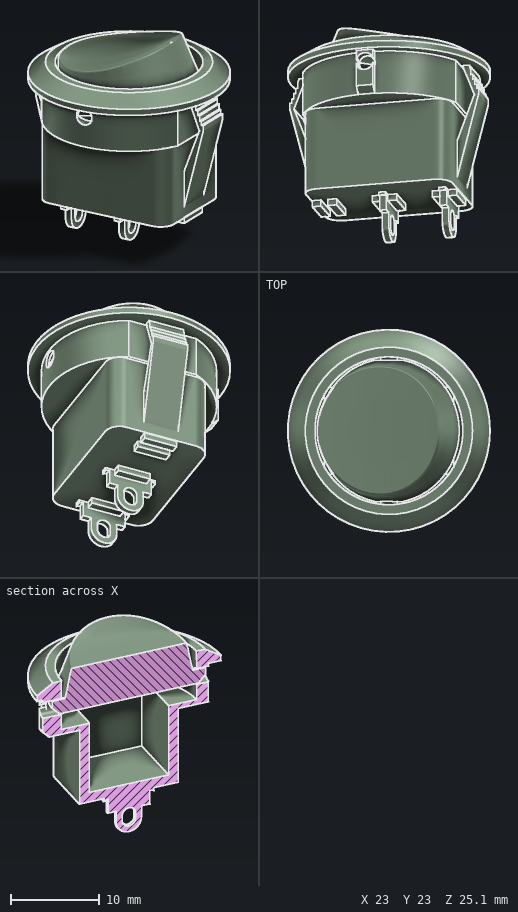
import cadquery as cq
import math


flange_radius = 11.5
flange_rim_height = 0.75
flange_height = 2.0
flange_top_radius = 9.5
collar_radius = 9.95
collar_flat_x = 9.0
collar_bottom = -5.0
bore_radius = 16.8 / 2
bore_floor = -4.3

case_half_x = 8.6
case_half_y = 6.18
case_corner_radius = 1.8
case_bottom = -14.6
case_wall = 1.26
case_floor_thickness = 1.3

pivot_z = -1.33
pivot_hole_diameter = 2.0
shaft_diameter = 1.9
shaft_end_y = 9.6

key_width = 1.95
key_outer_y = 10.75
key_chamfer = 0.8

clip_width = 4.3
clip_outer_x = 11.1
clip_step_x = 0.235
clip_step_levels = [-2.82, -2.34, -1.7, -1.13]
clip_ramp_z = -0.5
clip_tip_x = 10.0
clip_knee_z = -3.55
clip_knee_inner_x = 10.6
clip_top_inner_x = 9.2
clip_root_top = -8.86
clip_root_bottom = -13.2

terminal_pitch = 7.07
pad_length = 2.86
pad_width = 4.0
pad_height = 0.73
terminal_thickness = 0.8
terminal_width = 5.26
terminal_shoulder_z = -16.6
terminal_tip_z = -19.6
tab_radius = 1.6
tab_hole_radius = 0.8
tab_hole_upper_z = -17.3
barb_half_width = 3.13
barb_tip_z = -15.0
barb_inner_z = -14.8

rocker_tilt = 12.9
rocker_base_radius = 8.2
rocker_taper = 11.3
rocker_flat_y = 8.03
rocker_rim_height = 5.44
dish_depth = 0.9
dish_chord = 14.1
rocker_edge_fillet = 0.2


def make_bezel():
    rim = cq.Workplane("XY").circle(flange_radius).extrude(flange_rim_height)
    bevel = cq.Workplane("XZ").polyline([
        (0, flange_rim_height),
        (flange_radius, flange_rim_height),
        (flange_top_radius, flange_height),
        (0, flange_height),
    ]).close().revolve(360, (0, 0, 0), (0, 1, 0))
    return rim.union(bevel)


def make_collar():
    collar = cq.Workplane("XY").circle(collar_radius).extrude(collar_bottom)
    flats = cq.Workplane("XY").rect(2 * collar_flat_x, 2 * collar_radius).extrude(collar_bottom)
    return collar.intersect(flats)


def make_case():
    return (
        cq.Workplane("XY").workplane(offset=collar_bottom)
        .rect(2 * case_half_x, 2 * case_half_y)
        .extrude(case_bottom - collar_bottom)
        .edges("|Z").fillet(case_corner_radius)
    )


def make_key():
    inner_y = bore_radius + (collar_radius - bore_radius) / 2
    return (
        cq.Workplane("YZ")
        .polyline([
            (inner_y, 0),
            (key_outer_y, 0),
            (key_outer_y, collar_bottom + key_chamfer),
            (key_outer_y - key_chamfer, collar_bottom),
            (inner_y, collar_bottom),
        ]).close()
        .extrude(key_width / 2, both=True)
    )


def make_clip():
    """Snap clip on the +X side, with a stepped outer face above its knee and a ramp at its tip."""
    outline = [
        (case_half_x, clip_root_top),
        (case_half_x, clip_root_bottom),
        (clip_outer_x, clip_knee_z),
    ]
    step_x = clip_outer_x
    for level in clip_step_levels:
        outline.append((step_x, level))
        step_x -= clip_step_x
        outline.append((step_x, level))
    outline += [
        (step_x, clip_ramp_z),
        (clip_tip_x, 0),
        (clip_top_inner_x, 0),
        (clip_knee_inner_x, clip_knee_z),
    ]
    return cq.Workplane("XZ").polyline(outline).close().extrude(clip_width / 2, both=True)


def make_pad(x):
    return (
        cq.Workplane("XY", origin=(x, 0, case_bottom))
        .rect(pad_length, pad_width).extrude(-pad_height)
    )


def make_terminal(x):
    """Solder terminal: barbed shoulder plate with a round-ended, slotted tab."""
    half_width = terminal_width / 2
    tab_center_z = terminal_tip_z + tab_radius
    plate = (
        cq.Workplane("YZ", origin=(x, 0, 0))
        .moveTo(-half_width, case_bottom)
        .lineTo(-barb_half_width, case_bottom)
        .lineTo(-barb_half_width, barb_tip_z)
        .lineTo(-half_width, barb_inner_z)
        .lineTo(-half_width, terminal_shoulder_z)
        .lineTo(-tab_radius, terminal_shoulder_z)
        .lineTo(-tab_radius, tab_center_z)
        .threePointArc((0, terminal_tip_z), (tab_radius, tab_center_z))
        .lineTo(tab_radius, terminal_shoulder_z)
        .lineTo(half_width, terminal_shoulder_z)
        .lineTo(half_width, barb_inner_z)
        .lineTo(barb_half_width, barb_tip_z)
        .lineTo(barb_half_width, case_bottom)
        .close()
        .extrude(terminal_thickness / 2, both=True)
    )
    slot_length = tab_hole_upper_z - tab_center_z + 2 * tab_hole_radius
    slot = (
        cq.Workplane("YZ", origin=(x, 0, (tab_hole_upper_z + tab_center_z) / 2))
        .slot2D(slot_length, 2 * tab_hole_radius, 90)
        .extrude(terminal_thickness, both=True)
    )
    return plate.cut(slot)


def make_housing():
    body = make_bezel().union(make_collar()).union(make_case()).union(make_key())

    bore = (
        cq.Workplane("XY").workplane(offset=bore_floor)
        .circle(bore_radius).extrude(flange_height - bore_floor)
    )
    cavity_floor = case_bottom + case_floor_thickness
    cavity = (
        cq.Workplane("XY").workplane(offset=cavity_floor)
        .rect(2 * (case_half_x - case_wall), 2 * (case_half_y - case_wall))
        .extrude(bore_floor - cavity_floor)
    )
    pivot_hole = (
        cq.Workplane("XZ", origin=(0, 0, pivot_z))
        .circle(pivot_hole_diameter / 2).extrude(flange_radius, both=True)
    )
    body = body.cut(bore).cut(cavity).cut(pivot_hole)

    clip = make_clip()
    body = body.union(clip).union(clip.mirror("YZ"))

    for x in (-terminal_pitch, 0, terminal_pitch):
        body = body.union(make_pad(x))
    for x in (-terminal_pitch, 0):
        body = body.union(make_terminal(x))

    empty_slot = (
        cq.Workplane("XY", origin=(terminal_pitch, 0, case_bottom))
        .rect(terminal_thickness, pad_width).extrude(-pad_height)
    )
    return body.cut(empty_slot)


def make_rocker():
    """Tapered round button with a dished top, carried on a pivot shaft across its base."""
    blank_top = rocker_rim_height + dish_depth
    button = (
        cq.Workplane("XY").circle(rocker_base_radius)
        .extrude(blank_top, taper=rocker_taper)
    )

    dish_radius = ((dish_chord / 2)**2 + dish_depth**2) / (2 * dish_depth)
    dish_bottom = rocker_rim_height - dish_depth
    dish = (
        cq.Workplane("XZ", origin=(0, 0, dish_bottom + dish_radius))
        .circle(dish_radius).extrude(2 * rocker_base_radius, both=True)
    )
    button = button.cut(dish).faces(">Z").edges().fillet(rocker_edge_fillet)

    between_flats = (
        cq.Workplane("XY").rect(3 * rocker_base_radius, 2 * rocker_flat_y).extrude(blank_top)
    )
    button = button.intersect(between_flats)

    shaft_radius = shaft_diameter / 2
    shaft = cq.Workplane("XZ").circle(shaft_radius).extrude(shaft_end_y, both=True)
    shaft = shaft.rotate((0, 0, 0), (0, 1, 0), 90)
    rocker = button.union(shaft)

    for side in (-1, 1):
        wedge = cq.Workplane("YZ").polyline([
            (side * shaft_end_y, 0),
            (side * (shaft_end_y - shaft_diameter), -shaft_diameter),
            (side * (shaft_end_y + shaft_diameter), -shaft_diameter),
        ]).close().extrude(shaft_diameter, both=True)
        rocker = rocker.cut(wedge)

    rocker = rocker.rotate((0, 0, 0), (0, 1, 0), -rocker_tilt)
    return rocker.translate((0, 0, pivot_z))


housing = make_housing()
rocker = make_rocker()

result = cq.Compound.makeCompound([*housing.solids().vals(), *rocker.solids().vals()])